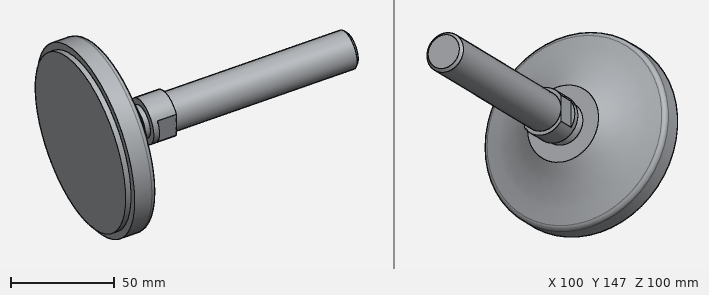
import cadquery as cq
import math

total_length = 147.0
base_radius = 100.0 / 2
pad_radius = 92.5 / 2
pad_height = 3.0
rim_top = 12.3
flank_outer_radius = 47.8
flank_outer_height = 15.0
crown_radius = 19.4
crown_height = 26.5

ball_radius = 11.2
ball_centre = 23.7
neck_radius = 17.0 / 2
neck_top = 33.7

collar_radius = 24.0 / 2
collar_top = 47.0
rod_radius = 20.0 / 2
rod_chamfer = 1.5
flat_spacing = 2 * rod_radius
flat_start = 36.8


def ball_radius_at(height):
    """Radius of the ball's circular section at a height along Y."""
    return math.sqrt(ball_radius**2 - (height - ball_centre) ** 2)


def make_turned_body():
    """Pad, base, ball joint, neck, collar and rod as one revolved outline."""
    ball_top = ball_centre + math.sqrt(ball_radius**2 - neck_radius**2)
    ball_middle_height = (crown_height + ball_top) / 2
    outline = (
        cq.Workplane("XY")
        .lineTo(pad_radius, 0)
        .lineTo(pad_radius, pad_height)
        .lineTo(base_radius, pad_height)
        .lineTo(base_radius, rim_top)
        .tangentArcPoint((flank_outer_radius, flank_outer_height), relative=False)
        .tangentArcPoint((crown_radius, crown_height), relative=False)
        .lineTo(ball_radius_at(crown_height), crown_height)
        .threePointArc(
            (ball_radius_at(ball_middle_height), ball_middle_height),
            (neck_radius, ball_top),
        )
        .lineTo(neck_radius, neck_top)
        .lineTo(collar_radius, neck_top)
        .lineTo(collar_radius, collar_top)
        .lineTo(rod_radius, collar_top)
        .lineTo(rod_radius, total_length - rod_chamfer)
        .lineTo(rod_radius - rod_chamfer, total_length)
        .lineTo(0, total_length)
        .close()
    )
    return outline.revolve(360, (0, 0, 0), (0, 1, 0))


def cut_wrench_flats(body):
    """Cut the two collar flats that face -X and +X."""
    flat_length = collar_top - flat_start
    cutter_width = collar_radius
    cutter_x = (flat_spacing + cutter_width) / 2
    cutter_y = flat_start + flat_length / 2
    cutter = cq.Workplane("XY").box(cutter_width, flat_length, 2 * collar_radius)
    for side in (-1, 1):
        body = body.cut(cutter.translate((side * cutter_x, cutter_y, 0)))
    return body


result = cut_wrench_flats(make_turned_body())